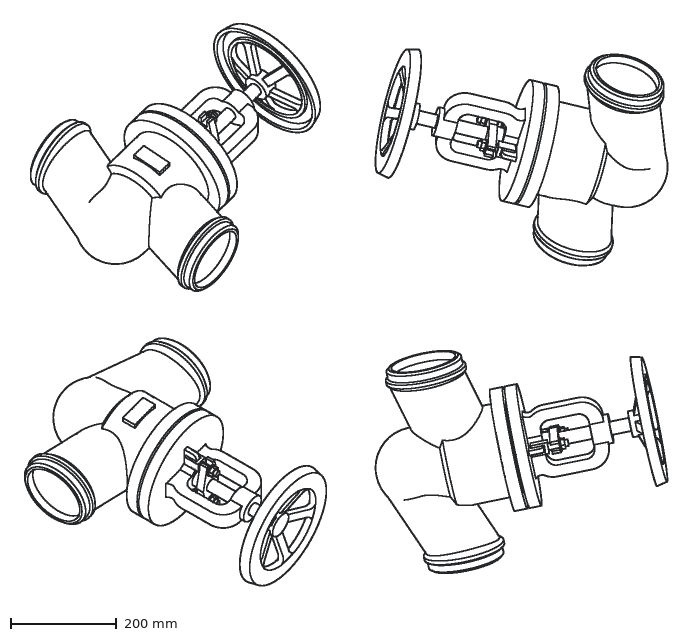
import cadquery as cq
import math


overall_length = 538.0
port_span = 400.0
wheel_diameter = 250.0

bowl_radius = 77.5
bowl_center_y = -55.5
bowl_bottom_y = bowl_center_y - bowl_radius
body_radius = 90.5
body_shoulder_y = 7.5
neck_top_y = -1.0
flange_radius = 118.0
body_flange_bottom_y = 111.0
body_flange_top_y = 135.5
gasket_radius = 87.0
bonnet_flange_bottom_y = 140.0
bonnet_top_y = 162.5

left_pipe_radius = 66.5
left_pipe_tilt = 21.4
right_pipe_radius = 70.5
right_pipe_tilt = 14.0
branch_anchor_x = 167.0

port_face_x = port_span / 2
weld_face_radius = 67.0
weld_radius = 72.5
weld_bevel = 4.5
collar_radius = 77.5
collar_outer_x = 179.0
collar_ramp = 3.0
collar_inner_x = 171.5
collar_back_drop = 12.0
bore_radius = 62.0
bore_depth = 16.0

plate_length = 63.5
plate_bottom_y = 36.5
plate_top_y = 65.5
plate_face_z = 94.0

yoke_half_width = 66.5
yoke_window_half_width = 44.5
yoke_thickness = 39.0
yoke_top_y = 311.0
yoke_window_top_y = 283.5
yoke_corner_radius = 40.0
yoke_window_radius = 19.0
yoke_waist_top_y = 203.0
yoke_waist_bottom_y = 179.0
yoke_waist_half_width = 58.0
yoke_foot_half_width = 62.5
boss_radius = 28.0
boss_top_y = 320.5
spindle_radius = 13.0

stuffing_radius = 26.5
stuffing_top_y = 190.5
follower_radius = 18.0
gland_bottom_y = 205.5
gland_thickness = 16.0
gland_half_width = 23.5
gland_end_half_width = 12.0
gland_half_length = 59.5
lug_thickness = 9.0
lug_half_length = 65.0
lug_corner_radius = 8.5

bolt_z = 43.0
stud_radius = 6.5
stud_top_y = 238.5
washer_radius = 12.0
washer_thickness = 2.5
nut_corner_radius = 11.0
nut_height = 7.5
fork_width = 22.0
fork_depth = 21.0
fork_bottom_y = 167.0
fork_top_y = 199.5
fork_slot_width = 13.0
fork_slot_top_y = 192.5

wheel_top_y = bowl_bottom_y + overall_length
wheel_height = 20.5
wheel_bottom_y = wheel_top_y - wheel_height
wheel_radius = wheel_diameter / 2
wheel_top_radius = 120.5
lip_radius = 117.5
web_outer_radius = 113.0
web_bottom_y = wheel_bottom_y + 12.5
ring_outer_radius = 94.5
ring_inner_radius = 87.0
ring_bottom_y = wheel_bottom_y + 6.0
hub_radius = 25.5
hub_bottom_y = 359.0
hub_top_y = 387.5
spoke_count = 5
spoke_width = 19.0
spoke_end_radius = 86.0
spoke_root_y = 369.5
spoke_rise = 22.5
spoke_thickness = 12.5
spoke_window_fillet = 11.0


def revolve_about_y(profile):
    return profile.close().revolve(360, (0, 0, 0), (0, 1, 0))


def cylinder_y(radius, bottom_y, top_y, z=0.0):
    return cq.Workplane("XZ", origin=(0, bottom_y, z)).circle(radius).extrude(bottom_y - top_y)


def block(width, bottom_y, top_y, depth, z=0.0):
    center_y = (bottom_y + top_y) / 2
    return cq.Workplane("XY").box(width, top_y - bottom_y, depth).translate((0, center_y, z))


def body():
    """Bowl, neck, body barrel and the two flanges with the gasket between them."""
    quarter = math.sqrt(0.5) * bowl_radius
    profile = (
        cq.Workplane("XY")
        .moveTo(0, bowl_bottom_y)
        .threePointArc((quarter, bowl_center_y - quarter), (bowl_radius, bowl_center_y))
        .lineTo(bowl_radius, neck_top_y)
        .lineTo(body_radius, body_shoulder_y)
        .lineTo(body_radius, body_flange_bottom_y)
        .lineTo(flange_radius, body_flange_bottom_y)
        .lineTo(flange_radius, body_flange_top_y)
        .lineTo(gasket_radius, body_flange_top_y)
        .lineTo(gasket_radius, bonnet_flange_bottom_y)
        .lineTo(flange_radius, bonnet_flange_bottom_y)
        .lineTo(flange_radius, bonnet_top_y)
        .lineTo(0, bonnet_top_y)
    )
    return revolve_about_y(profile)


def branch(side, radius, tilt):
    """Tilted pipe from the spindle axis out to the port collar; side is -1 or +1."""
    slope = math.tan(math.radians(tilt))
    start = cq.Vector(0, side * slope * branch_anchor_x, 0)
    direction = cq.Vector(side, -side * slope, 0)
    pipe = cq.Workplane(cq.Solid.makeCylinder(radius, port_span, start, direction))
    beyond = cq.Workplane("XY").box(port_span * 2, port_span, port_span)
    return pipe.cut(beyond.translate((side * (collar_inner_x + port_span), 0, 0)))


def port_end(side):
    """Bevelled weld end with its collar and the shallow bore, revolved about X."""
    profile = [
        (collar_inner_x - collar_back_drop, 0),
        (collar_inner_x - collar_back_drop, collar_radius - collar_back_drop),
        (collar_inner_x, collar_radius),
        (collar_outer_x, collar_radius),
        (collar_outer_x + collar_ramp, weld_radius),
        (port_face_x - weld_bevel, weld_radius),
        (port_face_x, weld_face_radius),
        (port_face_x, bore_radius),
        (port_face_x - bore_depth, bore_radius),
        (port_face_x - bore_depth, 0),
    ]
    points = [(side * x, radius) for x, radius in profile]
    return cq.Workplane("XY").polyline(points).close().revolve(360, (0, 0, 0), (1, 0, 0))


def nameplate():
    return block(plate_length, plate_bottom_y, plate_top_y, plate_face_z, plate_face_z / 2)


def yoke():
    """Arched frame with a waisted foot, its window and the boss around the spindle."""
    shoulder_y = yoke_top_y - yoke_corner_radius
    shoulder_x = yoke_half_width - yoke_corner_radius
    diagonal = math.sqrt(0.5) * yoke_corner_radius
    waist_drop = yoke_waist_top_y - yoke_waist_bottom_y
    waist_x = shoulder_x + math.sqrt(yoke_corner_radius**2 - waist_drop**2)
    half_drop = waist_drop / 2
    half_drop_x = shoulder_x + math.sqrt(yoke_corner_radius**2 - half_drop**2)
    waist_middle_y = (yoke_waist_bottom_y + bonnet_top_y) / 2
    half = (
        cq.Workplane("XY")
        .moveTo(0, yoke_top_y)
        .lineTo(shoulder_x, yoke_top_y)
        .threePointArc((shoulder_x + diagonal, shoulder_y + diagonal), (yoke_half_width, shoulder_y))
        .lineTo(yoke_half_width, yoke_waist_top_y)
        .threePointArc((half_drop_x, yoke_waist_top_y - half_drop), (waist_x, yoke_waist_bottom_y))
        .threePointArc((yoke_waist_half_width, waist_middle_y), (yoke_foot_half_width, bonnet_top_y))
        .lineTo(0, bonnet_top_y)
        .close()
        .extrude(yoke_thickness / 2, both=True)
    )
    frame = half.union(half.mirror("YZ"))
    window = block(2 * yoke_window_half_width, stuffing_top_y, yoke_window_top_y, yoke_thickness)
    frame = frame.cut(window.edges("|Z").fillet(yoke_window_radius))
    return frame.union(cylinder_y(boss_radius, yoke_window_top_y, boss_top_y))


def gland():
    """Stuffing box, follower and the six-sided gland plate with open bolt slots."""
    top_y = gland_bottom_y + gland_thickness
    outline = [
        (gland_half_width, 0),
        (gland_end_half_width, gland_half_length),
        (-gland_end_half_width, gland_half_length),
        (-gland_half_width, 0),
        (-gland_end_half_width, -gland_half_length),
        (gland_end_half_width, -gland_half_length),
    ]
    plate = cq.Workplane("XZ", origin=(0, gland_bottom_y, 0)).polyline(outline).close()
    plate = plate.extrude(-gland_thickness)
    slot_length = gland_half_length - bolt_z
    for side in (-1, 1):
        slot_z = side * (bolt_z + slot_length / 2)
        plate = plate.cut(block(2 * stud_radius, gland_bottom_y, top_y, slot_length, slot_z))
    box = cylinder_y(stuffing_radius, bonnet_top_y, stuffing_top_y)
    follower = cylinder_y(follower_radius, stuffing_top_y, gland_bottom_y)
    return box.union(follower).union(plate)


def lugs():
    bar = block(lug_thickness, bonnet_top_y, stuffing_top_y, 2 * lug_half_length)
    return bar.edges(">Y and |X").fillet(lug_corner_radius)


def eye_bolt(z):
    """Forked eye with its stud, washer and hexagon nut."""
    washer_bottom_y = gland_bottom_y + gland_thickness
    nut_bottom_y = washer_bottom_y + washer_thickness
    fork = block(fork_width, fork_bottom_y, fork_top_y, fork_depth, z)
    fork = fork.cut(block(fork_slot_width, fork_bottom_y, fork_slot_top_y, fork_depth, z))
    stud = cylinder_y(stud_radius, fork_slot_top_y, stud_top_y, z)
    washer = cylinder_y(washer_radius, washer_bottom_y, nut_bottom_y, z)
    nut = (
        cq.Workplane("XZ", origin=(0, nut_bottom_y, z))
        .transformed(rotate=(0, 0, 90))
        .polygon(6, 2 * nut_corner_radius)
        .extrude(-nut_height)
    )
    return fork.union(stud).union(washer).union(nut)


def spoke_window():
    """Opening between two neighbouring spokes, centred on +Z."""
    half_pitch = math.pi / spoke_count
    half_width = spoke_width / 2
    apex_z = half_width / math.sin(half_pitch)
    corner_angle = half_pitch - math.asin(half_width / ring_inner_radius)
    corner_x = ring_inner_radius * math.sin(corner_angle)
    corner_z = ring_inner_radius * math.cos(corner_angle)
    opening = (
        cq.Workplane("XZ", origin=(0, wheel_top_y, 0))
        .moveTo(0, apex_z)
        .lineTo(corner_x, corner_z)
        .threePointArc((0, ring_inner_radius), (-corner_x, corner_z))
        .close()
        .extrude(wheel_top_y - hub_bottom_y)
    )
    return opening.edges("|Y").edges(">X or <X").fillet(spoke_window_fillet)


def handwheel():
    """Rim, ring and conical centre turned in one profile, then opened between the spokes."""
    spoke_end_y = spoke_root_y + spoke_rise
    wheel = revolve_about_y(cq.Workplane("XY").polyline([
        (0, spoke_root_y),
        (hub_radius, spoke_root_y),
        (spoke_end_radius, spoke_end_y),
        (spoke_end_radius, ring_bottom_y),
        (ring_outer_radius, ring_bottom_y),
        (ring_outer_radius, web_bottom_y),
        (web_outer_radius, web_bottom_y),
        (lip_radius, wheel_bottom_y),
        (wheel_radius, wheel_bottom_y),
        (wheel_top_radius, wheel_top_y),
        (spoke_end_radius, wheel_top_y),
        (spoke_end_radius, spoke_end_y + spoke_thickness),
        (hub_radius, spoke_root_y + spoke_thickness),
        (0, spoke_root_y + spoke_thickness),
    ]))
    window = spoke_window()
    for index in range(spoke_count):
        wheel = wheel.cut(window.rotate((0, 0, 0), (0, 1, 0), index * 360 / spoke_count))
    return wheel.union(cylinder_y(hub_radius, hub_bottom_y, hub_top_y))


result = body()
result = result.union(branch(-1, left_pipe_radius, left_pipe_tilt))
result = result.union(branch(1, right_pipe_radius, right_pipe_tilt))
for side in (-1, 1):
    result = result.union(port_end(side))
result = result.union(nameplate())
result = result.union(yoke()).union(gland()).union(lugs())
for side in (-1, 1):
    result = result.union(eye_bolt(side * bolt_z))
result = result.union(cylinder_y(spindle_radius, gland_bottom_y, hub_top_y))
result = result.union(handwheel())